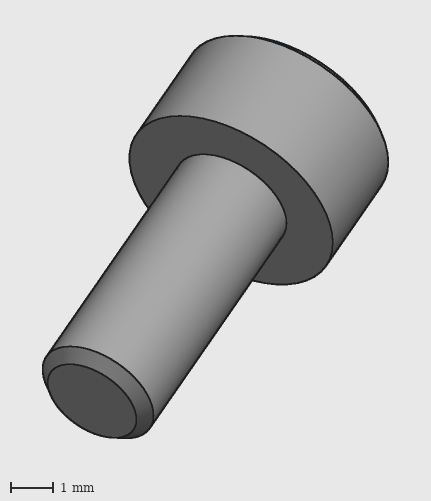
import cadquery as cq

total_length = 10.0
head_diameter = 5.5
head_height = 3.0
head_chamfer = 0.2
shank_diameter = 3.0
tip_chamfer = 0.3

shank_length = total_length - head_height


def make_head():
    """Cylindrical head with its bearing face at Y = 0 and a chamfered outer end."""
    head = cq.Workplane("XZ").circle(head_diameter / 2).extrude(-head_height)
    return head.faces(">Y").chamfer(head_chamfer)


def make_shank():
    """Plain shank running from the bearing face to a chamfered tip."""
    shank = cq.Workplane("XZ").circle(shank_diameter / 2).extrude(shank_length)
    return shank.faces("<Y").chamfer(tip_chamfer)


result = make_head().union(make_shank())